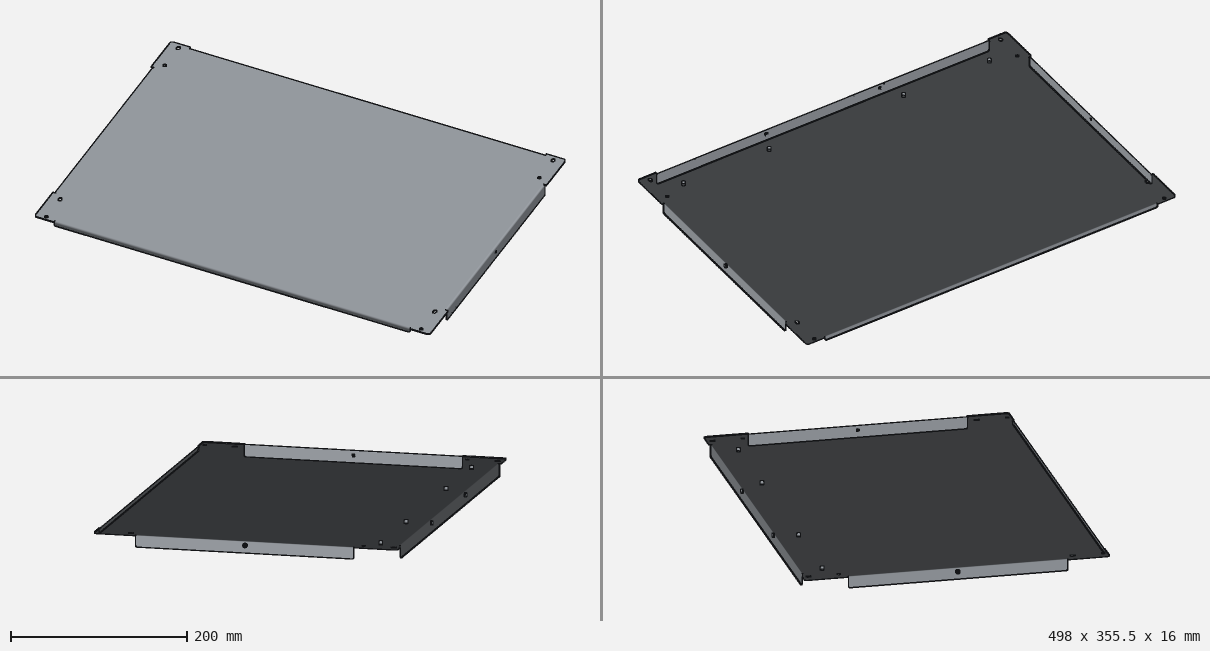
import cadquery as cq

LENGTH = 498.0
WIDTH = 355.5
HEIGHT = 16.0
SHEET = 1.5
INSIDE_BEND = 0.75
OUTSIDE_BEND = INSIDE_BEND + SHEET
CORNER_RADIUS = 3.5

EDGE_SETBACK = 1.5
LONG_FLANGE_LENGTH = 448.0
SIDE_FLANGE_LENGTH = 255.5
SIDE_FLANGE_Y = -1.5
SIDE_FLANGE_DEPTH = 15.0
FRONT_LIP_DEPTH = 6.0
FLANGE_CORNER_RADIUS = 2.0

HOLE_DIAMETER = 4.0
SLOT_LENGTH = 6.0
HOLE_X = 236.0
HOLE_PITCH = 35.5
BACK_SLOT_Y = 170.5
FRONT_HOLE_Y = -173.0

BUSH_DIAMETER = 5.0
BUSH_BORE = 3.0
BUSH_HEIGHT = 2.0
BUSH_Z = -6.5
BACK_BUSH_X = 76.5

STUD_DIAMETER = 4.5
STUD_LENGTH = 4.0
STUD_Y = 147.5
INNER_STUD_X = 90.5
OUTER_STUD_X = 206.0

SIDE_FACE_X = LENGTH / 2 - EDGE_SETBACK
BACK_FACE_Y = WIDTH / 2 - EDGE_SETBACK
FRONT_FACE_Y = WIDTH / 2


def panel():
    """Flat sheet with rounded corners, notched along all four flanges."""
    sheet = (
        cq.Workplane("XY")
        .box(LENGTH, WIDTH, SHEET, centered=(True, True, False))
        .translate((0, 0, -SHEET))
        .edges("|Z")
        .fillet(CORNER_RADIUS)
    )
    notch = 2 * (EDGE_SETBACK + OUTSIDE_BEND)
    lip_notch = 2 * OUTSIDE_BEND
    notches = (
        (0, WIDTH / 2, LONG_FLANGE_LENGTH, notch),
        (0, -WIDTH / 2, LONG_FLANGE_LENGTH, lip_notch),
        (LENGTH / 2, SIDE_FLANGE_Y, notch, SIDE_FLANGE_LENGTH),
        (-LENGTH / 2, SIDE_FLANGE_Y, notch, SIDE_FLANGE_LENGTH),
    )
    for x, y, size_x, size_y in notches:
        sheet = sheet.cut(cq.Workplane("XY").center(x, y).rect(size_x, size_y).extrude(-SHEET))
    return sheet


def flange(length, depth, face_distance, turn, offset=0):
    """Bend and flange facing +X, shifted along Y by offset, then turned about Z."""
    bend_start = face_distance - OUTSIDE_BEND
    inner_face = face_distance - SHEET
    profile = (
        cq.Workplane("XZ")
        .moveTo(bend_start, 0)
        .radiusArc((face_distance, -OUTSIDE_BEND), OUTSIDE_BEND)
        .lineTo(face_distance, -depth)
        .lineTo(inner_face, -depth)
        .lineTo(inner_face, -OUTSIDE_BEND)
        .radiusArc((bend_start, -SHEET), -INSIDE_BEND)
        .close()
    )
    strip = profile.extrude(length / 2, both=True)
    strip = strip.faces("<Z").edges("|X").fillet(FLANGE_CORNER_RADIUS)
    return strip.translate((0, offset, 0)).rotate((0, 0, 0), (0, 0, 1), turn)


def inward_cylinder(diameter, length, face_distance, offset, turn):
    """Cylinder reaching inward from a flange's outer face, at bush height."""
    return (
        cq.Workplane("YZ", origin=(face_distance, 0, 0))
        .center(offset, BUSH_Z)
        .circle(diameter / 2)
        .extrude(-length)
        .rotate((0, 0, 0), (0, 0, 1), turn)
    )


def add_bush(body, face_distance, offset, turn):
    """Bush on a flange's inner face, bored through together with the flange."""
    reach = SHEET + BUSH_HEIGHT
    body = body.union(inward_cylinder(BUSH_DIAMETER, reach, face_distance, offset, turn))
    return body.cut(inward_cylinder(BUSH_BORE, reach, face_distance, offset, turn))


def cut_corner_holes(body):
    """In each corner a slot along Y lies one pitch from a round hole."""
    round_holes = []
    slots = []
    for x in (-HOLE_X, HOLE_X):
        round_holes += [(x, BACK_SLOT_Y - HOLE_PITCH), (x, FRONT_HOLE_Y)]
        slots += [(x, BACK_SLOT_Y), (x, FRONT_HOLE_Y + HOLE_PITCH)]
    body = body.cut(cq.Workplane("XY").pushPoints(round_holes).circle(HOLE_DIAMETER / 2).extrude(-SHEET))
    return body.cut(cq.Workplane("XY").pushPoints(slots).slot2D(SLOT_LENGTH, HOLE_DIAMETER, 90).extrude(-SHEET))


def studs():
    """Row of four studs hanging from the underside near the back edge."""
    places = [(side * x, STUD_Y) for side in (-1, 1) for x in (INNER_STUD_X, OUTER_STUD_X)]
    underside = cq.Workplane("XY", origin=(0, 0, -SHEET))
    return underside.pushPoints(places).circle(STUD_DIAMETER / 2).extrude(-STUD_LENGTH)


RIGHT, BACK, LEFT, FRONT = 0, 90, 180, 270

body = panel()
body = body.union(flange(LONG_FLANGE_LENGTH, HEIGHT, BACK_FACE_Y, BACK))
body = body.union(flange(LONG_FLANGE_LENGTH, FRONT_LIP_DEPTH, FRONT_FACE_Y, FRONT))
for turn, offset in ((RIGHT, SIDE_FLANGE_Y), (LEFT, -SIDE_FLANGE_Y)):
    body = body.union(flange(SIDE_FLANGE_LENGTH, SIDE_FLANGE_DEPTH, SIDE_FACE_X, turn, offset))
    body = add_bush(body, SIDE_FACE_X, offset, turn)
for offset in (-BACK_BUSH_X, BACK_BUSH_X):
    body = add_bush(body, BACK_FACE_Y, offset, BACK)

body = cut_corner_holes(body)
result = body.union(studs())